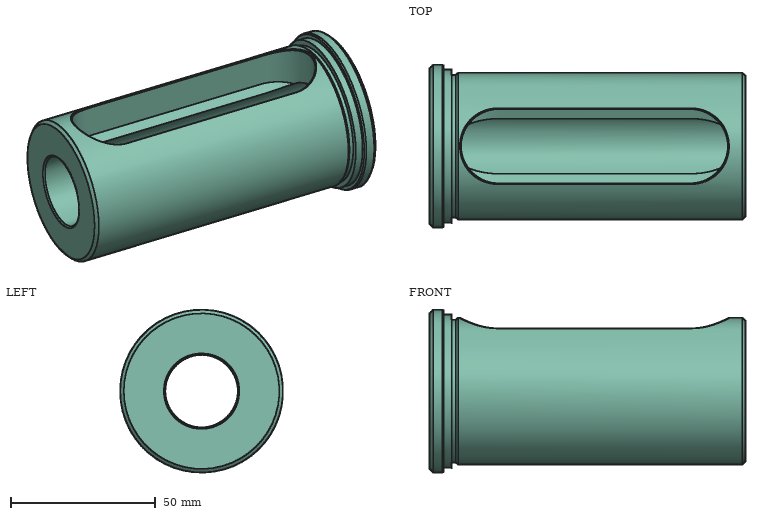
import cadquery as cq
import math

LENGTH = 109.3
BODY_RADIUS = 50.8 / 2
END_CHAMFER = 1.1

FLANGE_RADIUS = 56.4 / 2
FLANGE_WIDTH = 5.0
FLANGE_FRONT_CHAMFER = 1.3
FLANGE_BACK_BEVEL_LENGTH = 0.7
FLANGE_BACK_BEVEL_DEPTH = 0.3

COLLAR_RADIUS = 53.2 / 2
COLLAR_END = 7.7
COLLAR_LIP_LENGTH = 0.3
COLLAR_WAIST_DEPTH = 0.08

GROOVE_RADIUS = 24.7
GROOVE_FLOOR_END = 9.1
GROOVE_END = 10.0

BORE_RADIUS = 25.0 / 2
BORE_CHAMFER = 0.5
BORE_ENTRY_LENGTH = 1.1

SLOT_RADIUS = 12.8
SLOT_START = 23.7
SLOT_END = 90.4
SLOT_RIM_CHAMFER = 0.4
SLOT_POINT_Z = 2.6
SLOT_POINT_ANGLE = 120.0

TOLERANCE = 0.01


def spin_about_x(outline):
    """Solid of revolution about the X axis from a list of (x, radius) points."""
    return cq.Workplane("XY").polyline(outline).close().revolve(360, (0, 0, 0), (1, 0, 0))


def make_sleeve():
    """Turned outer shape, revolved about the X axis."""
    waist_radius = COLLAR_RADIUS - COLLAR_WAIST_DEPTH
    outline = [
        (0, 0),
        (0, FLANGE_RADIUS - FLANGE_FRONT_CHAMFER),
        (FLANGE_FRONT_CHAMFER, FLANGE_RADIUS),
        (FLANGE_WIDTH - FLANGE_BACK_BEVEL_LENGTH, FLANGE_RADIUS),
        (FLANGE_WIDTH, FLANGE_RADIUS - FLANGE_BACK_BEVEL_DEPTH),
        (FLANGE_WIDTH, COLLAR_RADIUS),
        (FLANGE_WIDTH + COLLAR_LIP_LENGTH, waist_radius),
        (COLLAR_END - COLLAR_LIP_LENGTH, waist_radius),
        (COLLAR_END, COLLAR_RADIUS),
        (COLLAR_END, GROOVE_RADIUS),
        (GROOVE_FLOOR_END, GROOVE_RADIUS),
        (GROOVE_END, BODY_RADIUS),
        (LENGTH - END_CHAMFER, BODY_RADIUS),
        (LENGTH, BODY_RADIUS - END_CHAMFER),
        (LENGTH, 0),
    ]
    return spin_about_x(outline)


def make_bore():
    """Through bore with a chamfered mouth at each end, longer on the flanged end."""
    mouth_radius = BORE_RADIUS + BORE_CHAMFER
    outline = [
        (0, 0),
        (0, mouth_radius),
        (BORE_ENTRY_LENGTH, BORE_RADIUS),
        (LENGTH - BORE_CHAMFER, BORE_RADIUS),
        (LENGTH, mouth_radius),
        (LENGTH, 0),
    ]
    return spin_about_x(outline)


def make_slot():
    """Sweep of a pointed cutter along X: two turned ends joined by a straight prism."""
    shoulder_z = SLOT_POINT_Z + SLOT_RADIUS / math.tan(math.radians(SLOT_POINT_ANGLE / 2))
    half_profile = [
        (0, SLOT_POINT_Z),
        (SLOT_RADIUS, shoulder_z),
        (SLOT_RADIUS, FLANGE_RADIUS),
        (0, FLANGE_RADIUS),
    ]
    cutter = cq.Workplane("XZ").polyline(half_profile).close().revolve(360, (0, 0, 0), (0, 1, 0))
    half_prism = (
        cq.Workplane("YZ", origin=(SLOT_START, 0, 0))
        .polyline(half_profile)
        .close()
        .extrude(SLOT_END - SLOT_START)
    )
    slot = half_prism.union(half_prism.mirror("XZ"))
    for center_x in (SLOT_START, SLOT_END):
        slot = slot.union(cutter.translate((center_x, 0, 0)))
    return slot


def is_slot_rim(edge):
    """True for edges where the slot breaks through the cylindrical body surface."""
    point = edge.positionAt(0.5)
    on_body = abs(math.hypot(point.y, point.z) - BODY_RADIUS) < TOLERANCE
    along_slot = SLOT_START - SLOT_RADIUS - TOLERANCE < point.x < SLOT_END + SLOT_RADIUS + TOLERANCE
    across_slot = abs(point.y) < SLOT_RADIUS + TOLERANCE
    return on_body and along_slot and across_slot and point.z > 0


slotted = make_sleeve().cut(make_slot())
slot_rim = [edge for edge in slotted.edges().vals() if is_slot_rim(edge)]
chamfered = slotted.newObject(slot_rim).chamfer(SLOT_RIM_CHAMFER)
result = chamfered.cut(make_bore())